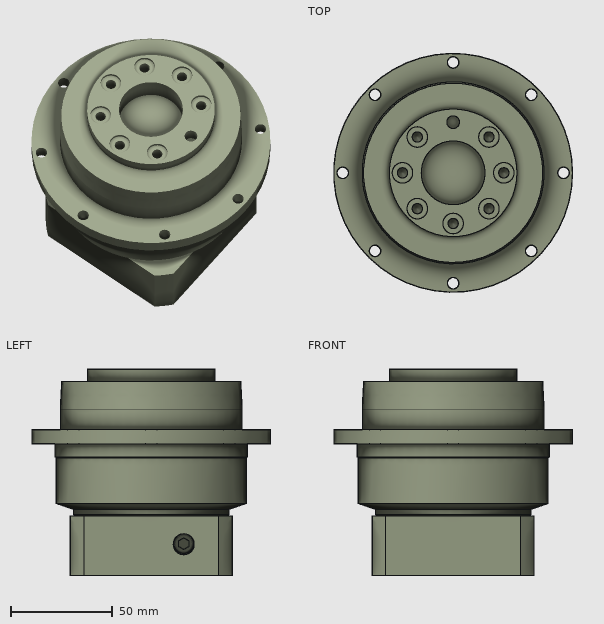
import cadquery as cq
import math


adapter_width = 80.0
adapter_height = 29.5
adapter_corner_radius = 52.0

collar_height = 3.2
collar_radius = 38.5
collar_chamfer = 0.7
shoulder_height = 3.0
barrel_height = 22.5
barrel_radius = 47.0
rim_height = 6.8
rim_radius = 47.5
rim_chamfer = 0.5
flange_height = 7.1
flange_radius = 59.0
pilot_height = 9.8
pilot_radius = 45.0
taper_height = 14.0
taper_top_radius = 44.2
boss_height = 6.0
boss_radius = 31.5

flange_hole_count = 8
flange_hole_diameter = 5.5
flange_hole_circle_radius = 54.5

center_bore_diameter = 31.5
center_bore_depth = 12.0
boss_place_count = 8
boss_circle_radius = 25.0
dowel_angle = 90.0
dowel_hole_diameter = 6.3
dowel_hole_depth = 7.1
counterbore_diameter = 10.1
counterbore_depth = 1.4
screw_hole_diameter = 5.1
screw_hole_depth = 11.8
drill_tip_angle = 118.0

access_hole_diameter = 10.4
access_hole_depth = 18.9
access_hole_y = -16.0
access_hole_z = 15.5
screw_rise = 0.3
screw_head_diameter = 9.7
screw_head_height = 6.0
screw_head_fillet = 0.6
hex_across_flats = 5.0
hex_socket_depth = 3.0

collar_bottom = adapter_height
shoulder_bottom = collar_bottom + collar_height
barrel_bottom = shoulder_bottom + shoulder_height
rim_bottom = barrel_bottom + barrel_height
flange_bottom = rim_bottom + rim_height
flange_top = flange_bottom + flange_height
taper_bottom = flange_top + pilot_height
boss_bottom = taper_bottom + taper_height
boss_top = boss_bottom + boss_height

access_hole_bottom_x = -adapter_width / 2 + access_hole_depth


def circle_point(radius, angle, z):
    """Point on a circle about the Z axis, with the angle in degrees from +X."""
    turn = math.radians(angle)
    return cq.Vector(radius * math.cos(turn), radius * math.sin(turn), z)


def cylinder_down(diameter, depth, top):
    """Vertical cylinder that reaches down from the point `top`."""
    return cq.Solid.makeCylinder(diameter / 2, depth, top, cq.Vector(0, 0, -1))


def make_body_blank():
    """Turned shape of the gearbox: half section revolved about Z."""
    return (
        cq.Workplane("XZ")
        .moveTo(0, collar_bottom)
        .lineTo(collar_radius - collar_chamfer, collar_bottom)
        .lineTo(collar_radius, collar_bottom + collar_chamfer)
        .lineTo(collar_radius, shoulder_bottom)
        .lineTo(barrel_radius, barrel_bottom)
        .lineTo(barrel_radius, rim_bottom)
        .lineTo(rim_radius, rim_bottom + rim_chamfer)
        .lineTo(rim_radius, flange_bottom)
        .lineTo(flange_radius, flange_bottom)
        .lineTo(flange_radius, flange_top)
        .lineTo(pilot_radius, flange_top)
        .lineTo(pilot_radius, taper_bottom)
        .lineTo(taper_top_radius, boss_bottom)
        .lineTo(boss_radius, boss_bottom)
        .lineTo(boss_radius, boss_top)
        .lineTo(0, boss_top)
        .close()
        .revolve(360, (0, 0, 0), (0, 1, 0))
    )


def cut_flange_holes(body):
    """Through holes spaced evenly round the mounting flange."""
    for i in range(flange_hole_count):
        top = circle_point(flange_hole_circle_radius, i * 360 / flange_hole_count, flange_top)
        body = body.cut(cylinder_down(flange_hole_diameter, flange_height, top))
    return body


def boss_screw_hole(angle):
    """Counterbored blind hole with a conical drill tip."""
    top = circle_point(boss_circle_radius, angle, boss_top)
    tip_top = top - cq.Vector(0, 0, screw_hole_depth)
    tip_radius = screw_hole_diameter / 2
    tip_length = tip_radius / math.tan(math.radians(drill_tip_angle / 2))
    tip = cq.Solid.makeCone(tip_radius, 0, tip_length, tip_top, cq.Vector(0, 0, -1))
    counterbore = cylinder_down(counterbore_diameter, counterbore_depth, top)
    drilled = cylinder_down(screw_hole_diameter, screw_hole_depth, top)
    return counterbore.fuse(drilled, tip)


def cut_boss_features(body):
    """Center bore, dowel hole and ring of counterbored screw holes in the boss face."""
    body = body.cut(cylinder_down(center_bore_diameter, center_bore_depth, cq.Vector(0, 0, boss_top)))
    dowel_top = circle_point(boss_circle_radius, dowel_angle, boss_top)
    body = body.cut(cylinder_down(dowel_hole_diameter, dowel_hole_depth, dowel_top))
    for i in range(1, boss_place_count):
        body = body.cut(boss_screw_hole(dowel_angle + i * 360 / boss_place_count))
    return body


def make_gearbox():
    body = make_body_blank()
    body = cut_flange_holes(body)
    return cut_boss_features(body)


def make_adapter():
    """Square block with turned corners and a blind access hole for the clamping screw."""
    block = cq.Workplane("XY").rect(adapter_width, adapter_width).extrude(adapter_height)
    turned = cq.Workplane("XY").circle(adapter_corner_radius).extrude(adapter_height)
    access_hole = (
        cq.Workplane("YZ", origin=(access_hole_bottom_x, access_hole_y, access_hole_z))
        .circle(access_hole_diameter / 2)
        .extrude(-access_hole_depth)
    )
    return block.intersect(turned).cut(access_hole)


def make_clamping_screw():
    """Rounded screw head with a hexagon socket, seated on the bottom of the access hole."""
    seat_center = (access_hole_bottom_x, access_hole_y, access_hole_z + screw_rise)
    seat = cq.Workplane("YZ", origin=seat_center)
    head = seat.circle(screw_head_diameter / 2).extrude(-screw_head_height)
    head = head.faces("<X").edges().fillet(screw_head_fillet)
    hex_across_corners = hex_across_flats / math.cos(math.pi / 6)
    socket = (
        seat.workplane(offset=-screw_head_height)
        .transformed(rotate=(0, 0, 90))
        .polygon(6, hex_across_corners)
        .extrude(hex_socket_depth)
    )
    return head.cut(socket)


gearbox = make_gearbox()
adapter = make_adapter()
clamping_screw = make_clamping_screw()

result = cq.Compound.makeCompound([gearbox.val(), adapter.val(), clamping_screw.val()])